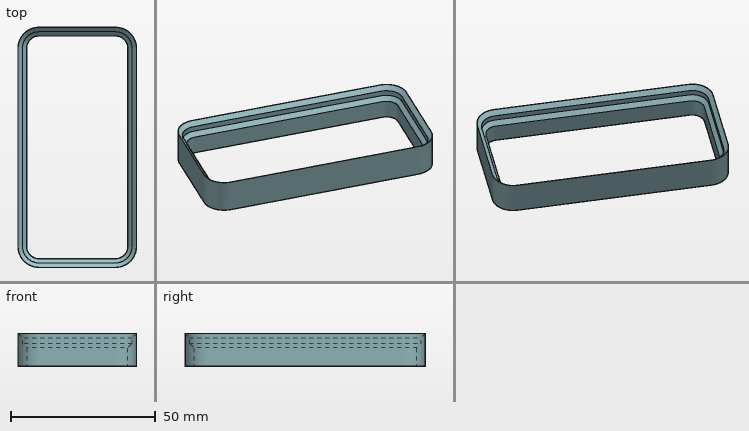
import cadquery as cq

width = 41.0
length = 83.0
height = 11.45
corner_radius = 7.3

upper_slope = 1.6
lower_slope = 1.5
band_height = 1.9

band_top = height - upper_slope
band_bottom = band_top - band_height
bore_top = band_bottom - lower_slope
wall = upper_slope + lower_slope


def rounded_block(inset, bottom, top, taper=0):
    """Rounded block inset from the outer wall; a negative taper widens it upwards."""
    return (
        cq.Workplane("XY")
        .workplane(offset=bottom)
        .sketch()
        .rect(width - 2 * inset, length - 2 * inset)
        .vertices()
        .fillet(corner_radius - inset)
        .finalize()
        .extrude(top - bottom, taper=taper)
    )


slope_taper = -45
frame = rounded_block(0, 0, height)
bore = rounded_block(wall, 0, bore_top)
lower_flare = rounded_block(wall, bore_top, band_bottom, slope_taper)
band = rounded_block(upper_slope, band_bottom, band_top)
upper_flare = rounded_block(upper_slope, band_top, height, slope_taper)

result = frame.cut(bore).cut(lower_flare).cut(band).cut(upper_flare)